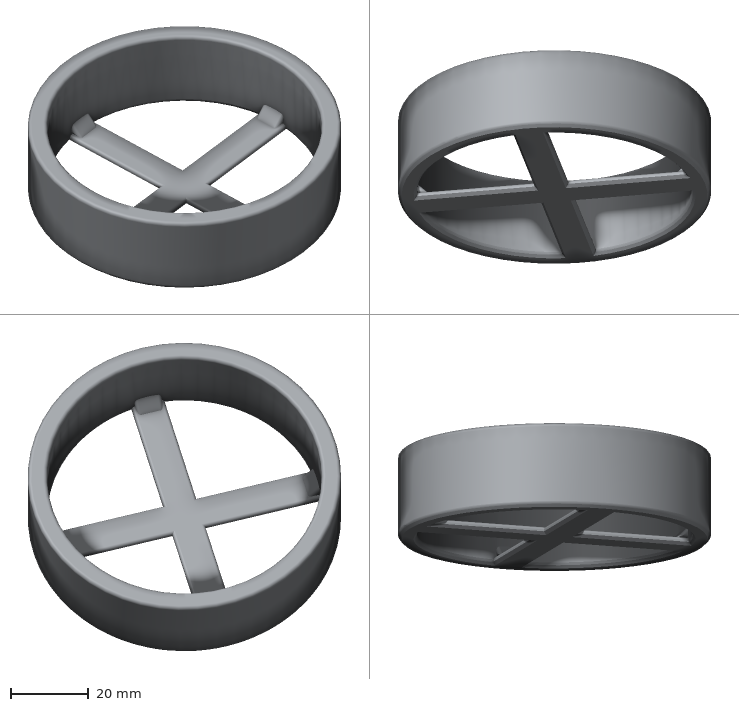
import cadquery as cq

outer_diameter = 80.5
inner_diameter = 70.5
height = 22.0
edge_radius = 1.0
bottom_chamfer = 1.0

spoke_width = 8.8
spoke_thickness = 2.0
spoke_edge_radius = 0.8
spoke_bottom_chamfer = 0.8

gusset_width = spoke_width - 2 * spoke_edge_radius
gusset_reach = 3.05
gusset_height = 3.05
gusset_edge_radius = 1.0

outer_radius = outer_diameter / 2
inner_radius = inner_diameter / 2
mid_wall_radius = (outer_radius + inner_radius) / 2


def make_ring():
    """Ring with a rounded top rim and a bottom rim chamfered, then blended into its walls."""
    ring = cq.Workplane("XY").circle(outer_radius).circle(inner_radius).extrude(height)
    ring = ring.faces(">Z").edges().fillet(edge_radius)
    ring = ring.faces("<Z").edges().chamfer(bottom_chamfer)
    blend_zone = cq.selectors.BoxSelector(
        (-outer_diameter, -outer_diameter, bottom_chamfer / 2),
        (outer_diameter, outer_diameter, bottom_chamfer * 1.5),
    )
    return ring.edges("%CIRCLE").edges(blend_zone).fillet(edge_radius)


def make_cross():
    """Two crossing bars with rounded upper and chamfered lower edges, ending inside the ring wall."""
    length = 2 * mid_wall_radius
    centered = (True, True, False)
    bar_x = cq.Workplane("XY").box(length, spoke_width, spoke_thickness, centered=centered)
    bar_y = cq.Workplane("XY").box(spoke_width, length, spoke_thickness, centered=centered)
    bar_x = bar_x.edges("|X and >Z").fillet(spoke_edge_radius)
    bar_x = bar_x.edges("|X and <Z").chamfer(spoke_bottom_chamfer)
    bar_y = bar_y.edges("|Y and >Z").fillet(spoke_edge_radius)
    bar_y = bar_y.edges("|Y and <Z").chamfer(spoke_bottom_chamfer)
    return bar_x.union(bar_y)


def make_gusset():
    """Triangular wedge on the +X spoke, rounded along its two sloping edges."""
    toe = inner_radius - gusset_reach
    run = mid_wall_radius - toe
    slope = gusset_height / gusset_reach
    wedge = (
        cq.Workplane("XZ", origin=(0, gusset_width / 2, spoke_thickness))
        .moveTo(toe, 0)
        .lineTo(mid_wall_radius, run * slope)
        .lineTo(mid_wall_radius, 0)
        .close()
        .extrude(gusset_width)
    )
    slope_edges = wedge.faces("<X").edges("not |Y")
    return slope_edges.fillet(gusset_edge_radius)


result = make_ring().union(make_cross())
gusset = make_gusset()
for quarter in range(4):
    result = result.union(gusset.rotate((0, 0, 0), (0, 0, 1), 90 * quarter))